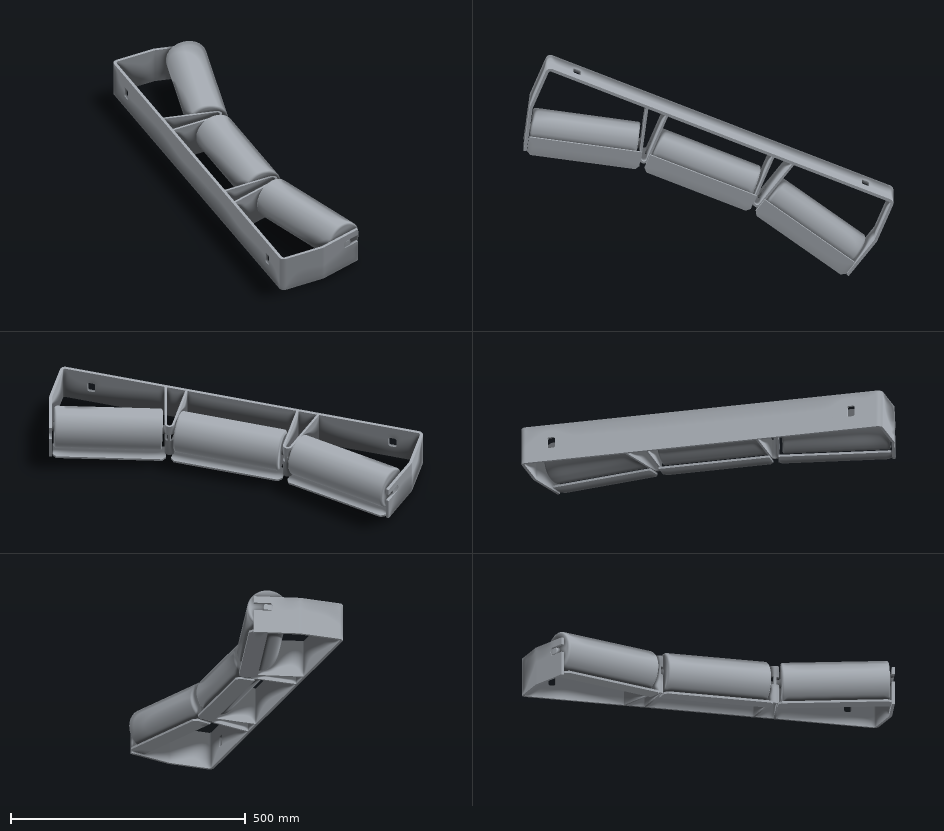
import cadquery as cq
import math

frame_length = 800.0
bracket_height = 82.0
sheet = 5.0
frame_sheet = 6.0
splay = 15.0
tilt = 2.1

roller_diameter = 89.0
roller_length = 230.0
roller_edge_radius = 5.0
shaft_diameter = 20.0
shaft_length = 250.0
shaft_flats = 13.0
flat_length = frame_sheet

slot_height = 17.0
slot_overrun = 2.0

middle_plate_length = 245.0
side_plate_length = 242.0
plate_width = 40.0
plate_thickness = 5.0
plate_corner_chamfer = 8.0

middle_axis_y = 100.0
middle_axis_z = 50.0
side_centre_x = 261.0
side_centre_y = 133.2

frame_corner_radius = 11.0
wing_bend_y = 98.0
wing_bend_radius = 18.0
wing_length = 97.0

mount_hole_width = 17.0
mount_hole_height = 24.0
mount_hole_corner = 4.0
mount_hole_x = 332.0
mount_hole_z = 41.0

arch_outer_radius = 10.0
arch_top_y = 126.0

half_length = frame_length / 2
half_shaft = shaft_length / 2
splay_rad = math.radians(splay)
tilt_rad = math.radians(tilt)
side_plate_shift = half_shaft - side_plate_length / 2
plate_crossing = half_shaft - 2 * sheet
side_centre_z = middle_axis_z * math.cos(tilt_rad) + plate_crossing * math.sin(tilt_rad)


def place_middle(body):
    """Move a body from roller coordinates onto the middle roller axis."""
    return body.translate((0, middle_axis_y, middle_axis_z))


def place_left(body):
    """Move a body from roller coordinates (axis on X) onto the left roller axis."""
    raised = body.rotate((0, 0, 0), (0, 1, 0), tilt)
    swung = raised.rotate((0, 0, 0), (0, 0, 1), -splay)
    return swung.translate((-side_centre_x, side_centre_y, side_centre_z))


def place_right(body):
    """Mirror image of the left placement."""
    return place_left(body).mirror("YZ")


stations = [
    (place_left, side_plate_length, side_plate_shift),
    (place_middle, middle_plate_length, 0),
    (place_right, side_plate_length, side_plate_shift),
]


def make_roller():
    shell = (
        cq.Workplane("YZ", origin=(-roller_length / 2, 0, 0))
        .circle(roller_diameter / 2)
        .extrude(roller_length)
        .faces("<X or >X")
        .edges()
        .fillet(roller_edge_radius)
    )
    flats = cq.Workplane("XY").box(shaft_length, shaft_diameter, shaft_flats)
    round_zone = cq.Workplane("XY").box(shaft_length - 2 * flat_length, shaft_diameter, shaft_diameter)
    shaft = (
        cq.Workplane("YZ", origin=(-half_shaft, 0, 0))
        .circle(shaft_diameter / 2)
        .extrude(shaft_length)
        .intersect(flats.union(round_zone))
    )
    return shell.union(shaft)


def make_slot_cutter():
    length = shaft_length + 2 * slot_overrun
    reach = roller_diameter / 2
    seat = (
        cq.Workplane("YZ", origin=(-length / 2, 0, 0))
        .circle(shaft_diameter / 2)
        .extrude(length)
    )
    channel = cq.Workplane("XY").box(length, reach, shaft_diameter).translate((0, reach / 2, 0))
    band = cq.Workplane("XY").box(length, 2 * reach, slot_height)
    return seat.union(channel).intersect(band)


def make_guard_plate(length, shift):
    return (
        cq.Workplane("XY")
        .box(length, plate_width, plate_thickness)
        .edges("|Z and >Y")
        .chamfer(plate_corner_chamfer)
        .translate((shift, plate_width / 2, -middle_axis_z - plate_thickness / 2))
    )


def bend_strip(path, start, start_plane, thickness):
    """Sweep the strip's section, set at start on start_plane, along the path."""
    section = cq.Workplane(start_plane, origin=(start[0], start[1], bracket_height / 2))
    return section.rect(thickness, bracket_height).sweep(path)


def make_frame():
    mid = frame_sheet / 2
    side_x = half_length - mid
    corner_bend = frame_corner_radius - mid
    wing_bend = wing_bend_radius - mid
    wing_start_x = side_x - wing_bend * (1 - math.cos(splay_rad))
    wing_start_y = wing_bend_y + wing_bend * math.sin(splay_rad)
    wing_tip_x = wing_start_x - wing_length * math.sin(splay_rad)
    wing_tip_y = wing_start_y + wing_length * math.cos(splay_rad)
    path = (
        cq.Workplane("XY", origin=(0, 0, bracket_height / 2))
        .moveTo(0, mid)
        .lineTo(side_x - corner_bend, mid)
        .tangentArcPoint((side_x, mid + corner_bend), relative=False)
        .lineTo(side_x, wing_bend_y)
        .tangentArcPoint((wing_start_x, wing_start_y), relative=False)
        .lineTo(wing_tip_x, wing_tip_y)
    )
    right_half = bend_strip(path, (0, mid), "YZ", frame_sheet)
    frame = right_half.union(right_half.mirror("YZ"))
    mount_holes = (
        cq.Workplane("XZ")
        .pushPoints([(-mount_hole_x, mount_hole_z), (mount_hole_x, mount_hole_z)])
        .rect(mount_hole_width, mount_hole_height)
        .extrude(-frame_sheet)
        .edges("|Y")
        .fillet(mount_hole_corner)
    )
    return frame.cut(mount_holes)


def make_left_v_bracket():
    bend = arch_outer_radius - sheet / 2
    straight_leg_x = -half_shaft + sheet / 2
    bend_x = straight_leg_x - bend
    bend_y = arch_top_y - arch_outer_radius
    lean_x = bend_x - bend * math.cos(splay_rad)
    lean_y = bend_y + bend * math.sin(splay_rad)
    foot_x = lean_x - lean_y * math.tan(splay_rad)
    path = (
        cq.Workplane("XY", origin=(0, 0, bracket_height / 2))
        .moveTo(straight_leg_x, 0)
        .lineTo(straight_leg_x, bend_y)
        .tangentArcPoint((lean_x, lean_y), relative=False)
        .lineTo(foot_x, 0)
    )
    sheet_body = bend_strip(path, (straight_leg_x, 0), "XZ", sheet)
    trim = cq.Workplane("XY").box(frame_length, 2 * frame_sheet, 2 * bracket_height)
    return sheet_body.cut(trim)


slot_cutter = make_slot_cutter()
left_v_bracket = make_left_v_bracket()
frame = make_frame()
v_brackets = [left_v_bracket, left_v_bracket.mirror("YZ")]

rollers = []
guard_plates = []
for place, plate_length, plate_shift in stations:
    rollers.append(place(make_roller()))
    guard_plates.append(place(make_guard_plate(plate_length, plate_shift)))
    slot = place(slot_cutter)
    frame = frame.cut(slot)
    v_brackets = [bracket.cut(slot) for bracket in v_brackets]


bodies = [frame, *v_brackets, *rollers, *guard_plates]
result = cq.Compound.makeCompound([body.val() for body in bodies])